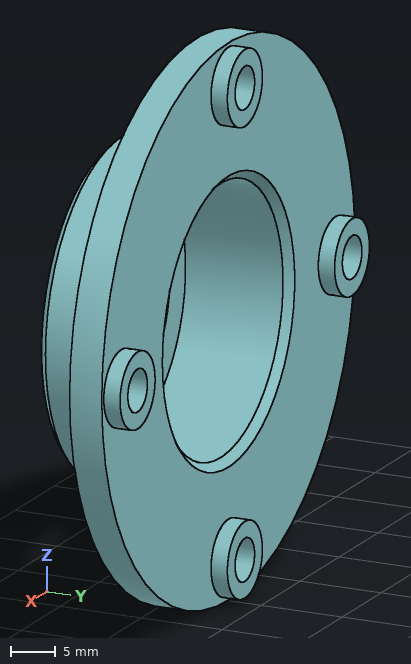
import cadquery as cq

total_depth = 16.0
hub_length = 10.0
pad_height = 2.0
flange_thickness = total_depth - hub_length - pad_height
shoulder_height = 1.0
hub_chamfer = 1.0
lip_thickness = 1.0
seat_chamfer = 1.0

flange_diameter = 65
shoulder_diameter = 44.0
hub_diameter = 39.85
bore_diameter = 24.0
seat_diameter = 32.0
pad_diameter = 9.0
bolt_hole_diameter = 5.0
bolt_circle_diameter = 55.0

bolt_count = 4
back_y = flange_thickness + pad_height


def cylinder(diameter, start_y, end_y):
    """Solid cylinder centred on the Y axis, running from start_y to end_y."""
    plane = cq.Workplane("XZ", origin=(0, end_y, 0))
    return plane.circle(diameter / 2).extrude(end_y - start_y)


def bolt_cylinders(diameter, start_y, end_y):
    """One cylinder along Y at each position on the bolt circle."""
    plane = cq.Workplane("XZ", origin=(0, end_y, 0))
    positions = plane.polarArray(bolt_circle_diameter / 2, 0, 360, bolt_count)
    return positions.circle(diameter / 2).extrude(end_y - start_y)


flange = cylinder(flange_diameter, 0, flange_thickness)
shoulder = cylinder(shoulder_diameter, -shoulder_height, 0)
hub = cylinder(hub_diameter, -hub_length, 0).faces("<Y").chamfer(hub_chamfer)
body = flange.union(shoulder).union(hub)

bore = cylinder(bore_diameter, -hub_length, flange_thickness)
seat = cylinder(seat_diameter, lip_thickness - hub_length, flange_thickness)
body = body.cut(bore).cut(seat)

seat_opening = cq.selectors.RadiusNthSelector(0)
body = body.faces(">Y").edges(seat_opening).chamfer(seat_chamfer)

pads = bolt_cylinders(pad_diameter, flange_thickness, back_y)
bolt_holes = bolt_cylinders(bolt_hole_diameter, 0, back_y)

result = body.union(pads).cut(bolt_holes)